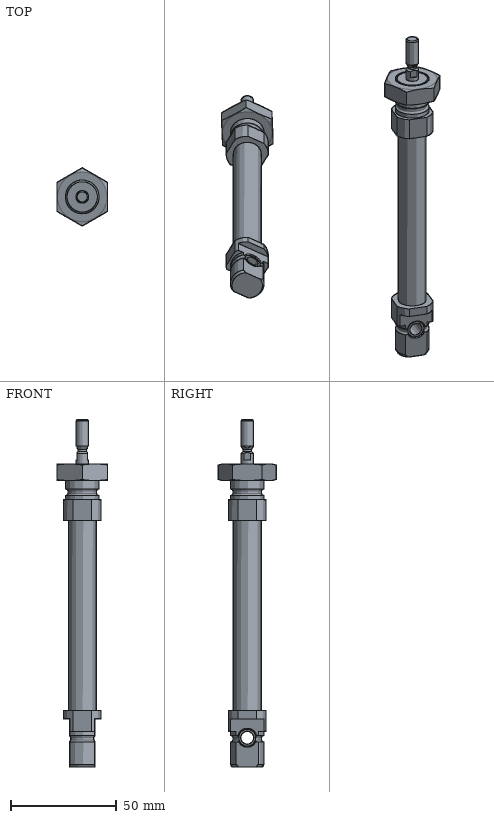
import cadquery as cq
import math

TOTAL_LENGTH = 165.0

COLLAR_HEIGHT = 10.0
COLLAR_DIAMETER = 20.0
COLLAR_ACROSS_FLATS = 18.0

THREAD_DIAMETER = 16.0
THREAD_MINOR_DIAMETER = 14.38
THREAD_END_ANGLE = 30.0
RELIEF_DIAMETER = 13.7
RELIEF_WIDTH = 3.0
RELIEF_RADIUS = 1.0
RELIEF_OFFSET = 2.0

REAR_COLLAR_TOP = 27.0
REAR_COLLAR_BOTTOM = REAR_COLLAR_TOP - COLLAR_HEIGHT
EYE_THICKNESS = 12.0
EYE_TOP = REAR_COLLAR_TOP - 4.0
EYE_HOLE_DIAMETER = 6.0
EYE_RECESS_FLOOR_DIAMETER = 8.0
EYE_RECESS_MOUTH_DIAMETER = 9.0
EYE_HOLE_HEIGHT = 14.0

TUBE_DIAMETER = 13.3
TUBE_LENGTH = 90.0
FRONT_COLLAR_BOTTOM = REAR_COLLAR_TOP + TUBE_LENGTH
FRONT_COLLAR_TOP = FRONT_COLLAR_BOTTOM + COLLAR_HEIGHT
FRONT_NECK_LENGTH = 17.0
FRONT_FACE = FRONT_COLLAR_TOP + FRONT_NECK_LENGTH

NUT_ACROSS_FLATS = 24.0
NUT_THICKNESS = 8.0
NUT_BOTTOM = FRONT_FACE - NUT_THICKNESS
NUT_FACE_DIAMETER = 23.5
NUT_CORNER_SLOPE = 15.0

ROD_DIAMETER = 6.0
ROD_THREAD_LENGTH = 12.6
ROD_TIP_DIAMETER = 4.8
ROD_RELIEF_DIAMETER = 4.13
ROD_RELIEF_WIDTH = 3.5
ROD_RELIEF_TOP = TOTAL_LENGTH - ROD_THREAD_LENGTH
ROD_SHOULDER = ROD_RELIEF_TOP - ROD_RELIEF_WIDTH
ROD_ACROSS_FLATS = 5.0
ROD_FLATS_HEIGHT = 3.0
ROD_BOTTOM = FRONT_COLLAR_BOTTOM


def cylinder(diameter, bottom, top):
    return cq.Workplane("XY").workplane(offset=bottom).circle(diameter / 2).extrude(top - bottom)


def block(width, depth, bottom, top):
    return cq.Workplane("XY").workplane(offset=bottom).rect(width, depth).extrude(top - bottom)


def revolved(profile):
    """Turn a closed (radius, height) outline about the Z axis."""
    return cq.Workplane("XZ").polyline(profile).close().revolve(360, (0, 0, 0), (0, 1, 0))


def relief_groove(bottom):
    """Ring to cut from a thread, with a straight core between two rounded sides."""
    outer = THREAD_DIAMETER / 2
    core = RELIEF_DIAMETER / 2
    top = bottom + RELIEF_WIDTH
    round_center = core + RELIEF_RADIUS
    inset = RELIEF_RADIUS * (1 - math.sqrt(0.5))
    profile = (
        cq.Workplane("XZ")
        .moveTo(outer, bottom)
        .lineTo(round_center, bottom)
        .threePointArc((core + inset, bottom + inset), (core, bottom + RELIEF_RADIUS))
        .lineTo(core, top - RELIEF_RADIUS)
        .threePointArc((core + inset, top - inset), (round_center, top))
        .lineTo(outer, top)
        .close()
    )
    return profile.revolve(360, (0, 0, 0), (0, 1, 0))


def rod_relief_groove():
    """Ring to cut from the rod, with a long thread lead-in above and a 45 degree side below."""
    outer = ROD_DIAMETER / 2
    core = ROD_RELIEF_DIAMETER / 2
    depth = outer - core
    lead_in_length = depth / math.tan(math.radians(THREAD_END_ANGLE))
    return revolved([
        (outer, ROD_SHOULDER),
        (core, ROD_SHOULDER + depth),
        (core, ROD_RELIEF_TOP - lead_in_length),
        (outer, ROD_RELIEF_TOP),
    ])


def collar(bottom):
    top = bottom + COLLAR_HEIGHT
    flats = block(COLLAR_ACROSS_FLATS, COLLAR_ACROSS_FLATS, bottom, top)
    return cylinder(COLLAR_DIAMETER, bottom, top).intersect(flats)


def threaded_neck(bottom, top, lead_in_face):
    """Threaded neck with a lead-in on the end face picked by the selector."""
    lead_in_depth = (THREAD_DIAMETER - THREAD_MINOR_DIAMETER) / 2
    lead_in_length = lead_in_depth / math.tan(math.radians(THREAD_END_ANGLE))
    neck = cylinder(THREAD_DIAMETER, bottom, top)
    return neck.faces(lead_in_face).chamfer(lead_in_length, lead_in_depth)


def rear_cap():
    neck = threaded_neck(0, REAR_COLLAR_BOTTOM, "<Z")
    groove_bottom = REAR_COLLAR_BOTTOM - RELIEF_OFFSET - RELIEF_WIDTH
    groove = relief_groove(groove_bottom)
    cap = neck.cut(groove).union(collar(REAR_COLLAR_BOTTOM))

    eye = block(EYE_THICKNESS, COLLAR_DIAMETER, 0, EYE_TOP)
    above_eye = block(COLLAR_DIAMETER, COLLAR_DIAMETER, EYE_TOP, REAR_COLLAR_TOP)
    cap = cap.intersect(eye.union(above_eye))
    return cap.cut(eye_hole())


def eye_hole():
    """Pin hole along X, with a shallow flat-bottomed recess at each mouth."""
    half_thickness = EYE_THICKNESS / 2
    bore = EYE_HOLE_DIAMETER / 2
    floor = EYE_RECESS_FLOOR_DIAMETER / 2
    mouth = EYE_RECESS_MOUTH_DIAMETER / 2
    floor_position = half_thickness - (mouth - floor)
    profile = [
        (-half_thickness, 0),
        (-half_thickness, mouth),
        (-floor_position, floor),
        (-floor_position, bore),
        (floor_position, bore),
        (floor_position, floor),
        (half_thickness, mouth),
        (half_thickness, 0),
    ]
    hole = cq.Workplane("XZ").polyline(profile).close().revolve(360, (0, 0, 0), (1, 0, 0))
    return hole.translate((0, 0, EYE_HOLE_HEIGHT))


def front_cap():
    neck = threaded_neck(FRONT_COLLAR_TOP, FRONT_FACE, ">Z")
    groove_bottom = FRONT_COLLAR_TOP + RELIEF_OFFSET
    groove = relief_groove(groove_bottom)
    return neck.cut(groove).union(collar(FRONT_COLLAR_BOTTOM))


def make_housing():
    tube = cylinder(TUBE_DIAMETER, REAR_COLLAR_TOP, FRONT_COLLAR_BOTTOM)
    rod_bore = cylinder(ROD_DIAMETER, ROD_BOTTOM, FRONT_FACE)
    return tube.union(rear_cap()).union(front_cap()).cut(rod_bore)


def make_nut():
    corner_radius = NUT_ACROSS_FLATS / math.sqrt(3)
    face_radius = NUT_FACE_DIAMETER / 2
    corner_drop = (corner_radius - face_radius) * math.tan(math.radians(NUT_CORNER_SLOPE))

    hexagon = cq.Workplane("XY").workplane(offset=NUT_BOTTOM).polygon(6, 2 * corner_radius)
    blank = hexagon.extrude(NUT_THICKNESS).rotate((0, 0, 0), (0, 0, 1), 30)
    chamfered_envelope = revolved([
        (0, NUT_BOTTOM),
        (face_radius, NUT_BOTTOM),
        (corner_radius, NUT_BOTTOM + corner_drop),
        (corner_radius, FRONT_FACE - corner_drop),
        (face_radius, FRONT_FACE),
        (0, FRONT_FACE),
    ])
    thread_bore = cylinder(THREAD_DIAMETER, NUT_BOTTOM, FRONT_FACE)
    return blank.intersect(chamfered_envelope).cut(thread_bore)


def make_rod():
    rod = cylinder(ROD_DIAMETER, ROD_BOTTOM, TOTAL_LENGTH)
    rod = rod.faces(">Z").chamfer((ROD_DIAMETER - ROD_TIP_DIAMETER) / 2)
    rod = rod.cut(rod_relief_groove())

    flats_bottom = ROD_SHOULDER - ROD_FLATS_HEIGHT
    around_flats = block(2 * ROD_DIAMETER, ROD_DIAMETER, flats_bottom, ROD_RELIEF_TOP)
    between_flats = block(ROD_ACROSS_FLATS, ROD_DIAMETER, flats_bottom, ROD_RELIEF_TOP)
    return rod.cut(around_flats.cut(between_flats))


housing = make_housing()
nut = make_nut()
rod = make_rod()

result = cq.Compound.makeCompound([housing.val(), nut.val(), rod.val()])